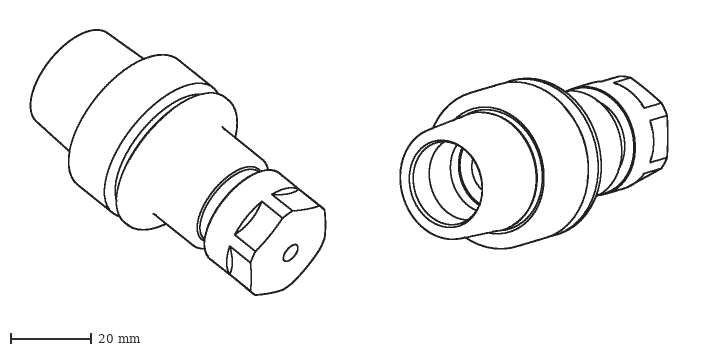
import cadquery as cq
import math

total_length = 80.0
nut_start = 63.0
through_bore_diameter = 5.0

shank_tip_diameter = 28.3
shank_large_diameter = 30.1
shank_tip_round = 0.8
shank_taper_end = 17.9
shank_neck_diameter = 29.4
shank_neck_start = 18.7

flange_diameter = 40.0
flange_start = 19.9
flange_end = 39.9
flange_round = 1.0
flange_collar_start = 37.9
collar_round = 1.0
flange_groove_diameter = 34.9
groove_start = 35.1
groove_end = 36.8
groove_corner_round = 0.3
groove_front_edge = 34.1
groove_front_round = 0.5

undercut_diameter = 32.0
undercut_depth = 0.3
undercut_round = 0.6

body_diameter = 27.5
body_fillet = 3.0
body_end = 58.0
body_end_round = 1.0
neck_diameter = 21.5
neck_chamfer = 0.5

lip_diameter = 21.0
lip_chamfer_depth = 1.0
lip_edge_diameter = 22.0
lip_end = 8.0
clamp_groove_diameter = 25.5
clamp_groove_end = 17.0
clamp_groove_round = 1.0
inner_bore_diameter = 20.5
inner_bore_end = 20.8
inner_bore_chamfer = 0.2
pocket_diameter = 12.8
pocket_floor_diameter = 11.0
pocket_depth = 2.4
through_bore_chamfer = 0.5

nut_diameter = 27.5
nut_rear_chamfer = 0.2
nut_across_flats = 25.4
nut_flats_start = 71.4
nut_flat_count = 6
flat_runout_length = 1.0
nut_nose_start = 78.9
nut_nose_diameter = 20.0

FORWARD = (1, 0)
BACK = (-1, 0)
OUTWARD = (0, 1)
INWARD = (0, -1)


def revolve_about_x(profile):
    """Turn a closed profile of axial and radial coordinates about the X axis."""
    return profile.close().revolve(360, (0, 0, 0), (1, 0, 0))


def cylinder_along_x(start, end, diameter):
    return cq.Workplane("YZ").workplane(offset=start).circle(diameter / 2).extrude(end - start)


def cone_along_x(start, end, start_diameter, end_diameter):
    profile = cq.Workplane("XY").moveTo(start, 0).lineTo(start, start_diameter / 2)
    return revolve_about_x(profile.lineTo(end, end_diameter / 2).lineTo(end, 0))


def round_corner(profile, corner, start_direction, end_direction, radius):
    """Add a convex or concave quarter round; directions point from the corner to the two tangent points."""
    x, r = corner
    ux, ur = start_direction
    vx, vr = end_direction
    inset = radius * (1 - math.sqrt(0.5))
    start = (x + ux * radius, r + ur * radius)
    middle = (x + (ux + vx) * inset, r + (ur + vr) * inset)
    end = (x + vx * radius, r + vr * radius)
    return profile.lineTo(*start).threePointArc(middle, end)


def make_holder_blank():
    flange_radius = flange_diameter / 2
    groove_radius = flange_groove_diameter / 2
    body_radius = body_diameter / 2
    neck_radius = neck_diameter / 2
    shank_neck_radius = shank_neck_diameter / 2
    undercut_floor = flange_start + undercut_depth

    profile = cq.Workplane("XY").moveTo(0, 0)
    profile = round_corner(profile, (0, shank_tip_diameter / 2), INWARD, FORWARD, shank_tip_round)
    profile = profile.lineTo(shank_taper_end, shank_large_diameter / 2)
    profile = profile.lineTo(shank_neck_start, shank_neck_radius)
    profile = round_corner(profile, (undercut_floor, shank_neck_radius), BACK, OUTWARD, undercut_round)
    profile = profile.lineTo(flange_start, undercut_diameter / 2)
    profile = round_corner(profile, (flange_start, flange_radius), INWARD, FORWARD, flange_round)
    profile = profile.lineTo(groove_front_edge - groove_front_round, flange_radius)
    profile = profile.lineTo(groove_front_edge, flange_radius - groove_front_round)
    profile = round_corner(profile, (groove_start, groove_radius), OUTWARD, FORWARD, groove_corner_round)
    profile = round_corner(profile, (groove_end, groove_radius), BACK, OUTWARD, groove_corner_round)
    profile = profile.lineTo(flange_collar_start, flange_radius)
    profile = round_corner(profile, (flange_end, flange_radius), BACK, INWARD, collar_round)
    profile = round_corner(profile, (flange_end, body_radius), OUTWARD, FORWARD, body_fillet)
    profile = round_corner(profile, (body_end, body_radius), BACK, INWARD, body_end_round)
    profile = profile.lineTo(body_end, neck_radius + neck_chamfer)
    profile = profile.lineTo(body_end + neck_chamfer, neck_radius)
    profile = profile.lineTo(nut_start, neck_radius).lineTo(nut_start, 0)
    return revolve_about_x(profile)


def make_clamp_groove():
    groove_corner = (clamp_groove_end, clamp_groove_diameter / 2)
    profile = cq.Workplane("XY").moveTo(lip_end, 0).lineTo(lip_end, clamp_groove_diameter / 2)
    profile = round_corner(profile, groove_corner, BACK, INWARD, clamp_groove_round)
    return revolve_about_x(profile.lineTo(clamp_groove_end, 0))


def make_holder_bore():
    inner_floor_diameter = inner_bore_diameter - 2 * inner_bore_chamfer
    bore_edge_diameter = through_bore_diameter + 2 * through_bore_chamfer
    inner_wall_end = inner_bore_end - inner_bore_chamfer
    pocket_floor = inner_bore_end + pocket_depth

    bore = cylinder_along_x(0, nut_start, through_bore_diameter)
    bore = bore.union(cone_along_x(0, lip_chamfer_depth, lip_edge_diameter, lip_diameter))
    bore = bore.union(cylinder_along_x(lip_chamfer_depth, lip_end, lip_diameter))
    bore = bore.union(make_clamp_groove())
    bore = bore.union(cylinder_along_x(clamp_groove_end, inner_wall_end, inner_bore_diameter))
    bore = bore.union(cone_along_x(inner_wall_end, inner_bore_end, inner_bore_diameter, inner_floor_diameter))
    bore = bore.union(cone_along_x(inner_bore_end, pocket_floor, pocket_diameter, pocket_floor_diameter))
    chamfer_end = pocket_floor + through_bore_chamfer
    return bore.union(cone_along_x(pocket_floor, chamfer_end, bore_edge_diameter, through_bore_diameter))


def make_holder():
    return make_holder_blank().cut(make_holder_bore())


def make_flat_cut():
    """Cutter for one flat; the cone it leaves standing gives the flat its curved rear edge."""
    flat_length = total_length - nut_flats_start
    flat_radius = nut_across_flats / 2
    flat_cut = cq.Workplane("XY").box(flat_length, nut_diameter, nut_diameter, centered=(False, False, True))
    flat_cut = flat_cut.translate((nut_flats_start, flat_radius, 0))
    runout_end = nut_flats_start + flat_runout_length
    return flat_cut.cut(cone_along_x(nut_flats_start, runout_end, nut_diameter, nut_across_flats))


def make_nut():
    flat_cut = make_flat_cut()
    rear_chamfer_end = nut_start + nut_rear_chamfer
    rear_diameter = nut_diameter - 2 * nut_rear_chamfer
    nut = cone_along_x(nut_start, rear_chamfer_end, rear_diameter, nut_diameter)
    nut = nut.union(cylinder_along_x(rear_chamfer_end, nut_nose_start, nut_diameter))
    nut = nut.union(cone_along_x(nut_nose_start, total_length, nut_diameter, nut_nose_diameter))
    for index in range(nut_flat_count):
        nut = nut.cut(flat_cut.rotate((0, 0, 0), (1, 0, 0), index * 360 / nut_flat_count))
    return nut.cut(cylinder_along_x(nut_start, total_length, through_bore_diameter))


holder = make_holder()
nut = make_nut()
result = cq.Compound.makeCompound([holder.val(), nut.val()])